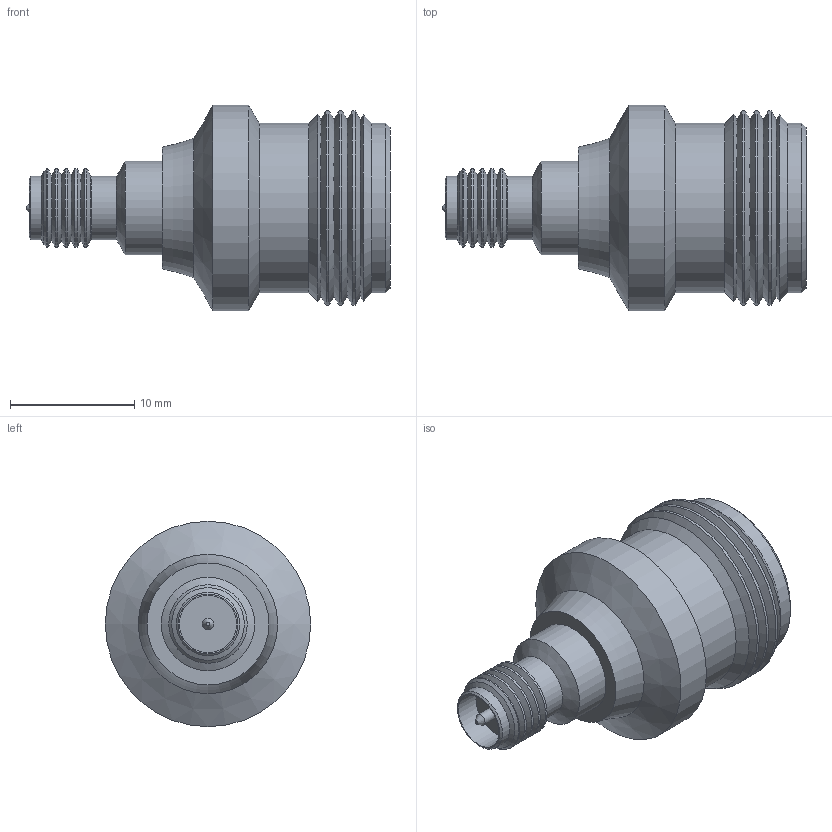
import cadquery as cq
import math

TOTAL_LENGTH = 29.25

SOCKET_FACE_X = 0.25
NECK_RADIUS = 2.55
SOCKET_CHAMFER = 0.15
BORE_RADIUS = 2.3
BORE_DEPTH = 2.0
PIN_RADIUS = 0.48
PIN_TIP_RADIUS = 0.15
PIN_TIP_LENGTH = 0.5

SMALL_ROOT_RADIUS = 2.62
SMALL_LEAD_IN_RADIUS = 2.92
SMALL_CREST_RADIUS = 3.15
SMALL_PITCH = 0.785
SMALL_CREST_WIDTH = 0.18
SMALL_CREST_COUNT = 5
SMALL_FIRST_CREST_X = 1.66
SMALL_THREAD_END_X = 5.28
SMALL_THREAD_END_CHAMFER = 0.09

SHOULDER_X = 7.96
SHOULDER_RADIUS = 3.75
BELL_X = 10.96
BELL_START_RADIUS = 4.9
BELL_END_RADIUS = 5.6
BELL_LENGTH = 2.5
BELL_SAG = 0.06
FLANGE_X = 15.0
FLANGE_RADIUS = 8.25
FLANGE_WIDTH = 2.9
BARREL_RADIUS = 6.8

LARGE_THREAD_X = 22.72
LARGE_CREST_RADIUS = 7.82
LARGE_ROOT_RADIUS = 7.1
LARGE_PITCH = 25.4 / 24
LARGE_CREST_WIDTH = 0.22
LARGE_CREST_COUNT = 3
LARGE_FIRST_CREST_X = 24.22
LARGE_LEAD_IN_RADIUS = 7.54
LARGE_RUN_OUT_RADIUS = 7.48
END_CHAMFER = 0.35

STEEP_SLOPE = math.tan(math.radians(60))


def thread_points(first_crest_x, count, pitch, crest_width, crest_radius, root_radius):
    """Flat-crested ridges between pointed roots, from the root before the first to that after the last."""
    first_root_x = first_crest_x - pitch / 2
    points = [(first_root_x, root_radius)]
    for index in range(count):
        crest_x = first_crest_x + index * pitch
        points += [
            (crest_x - crest_width / 2, crest_radius),
            (crest_x + crest_width / 2, crest_radius),
            (crest_x + pitch / 2, root_radius),
        ]
    return points


def revolve_about_x(profile):
    return profile.close().revolve(360, (0, 0, 0), (1, 0, 0))


def make_body():
    small_thread = thread_points(
        SMALL_FIRST_CREST_X, SMALL_CREST_COUNT, SMALL_PITCH,
        SMALL_CREST_WIDTH, SMALL_CREST_RADIUS, SMALL_ROOT_RADIUS,
    )
    large_thread = thread_points(
        LARGE_FIRST_CREST_X, LARGE_CREST_COUNT, LARGE_PITCH,
        LARGE_CREST_WIDTH, LARGE_CREST_RADIUS, LARGE_ROOT_RADIUS,
    )

    first_root_x, first_flank_end_x = small_thread[0][0], small_thread[1][0]
    flank_slope = (SMALL_CREST_RADIUS - SMALL_ROOT_RADIUS) / (first_flank_end_x - first_root_x)
    lead_in_start_x = first_root_x + (SMALL_LEAD_IN_RADIUS - SMALL_ROOT_RADIUS) / flank_slope
    lead_in_end_x = lead_in_start_x + SMALL_CREST_RADIUS - SMALL_LEAD_IN_RADIUS
    thread_start_x = first_root_x - (SMALL_ROOT_RADIUS - NECK_RADIUS) / flank_slope

    shoulder_cone_start = SHOULDER_X - (SHOULDER_RADIUS - NECK_RADIUS) / STEEP_SLOPE
    bell_end_x = BELL_X + BELL_LENGTH
    bell_middle = (
        BELL_X + BELL_LENGTH / 2,
        (BELL_START_RADIUS + BELL_END_RADIUS) / 2 - BELL_SAG,
    )
    flange_end_x = FLANGE_X + FLANGE_WIDTH
    flange_cone_end = flange_end_x + (FLANGE_RADIUS - BARREL_RADIUS) / STEEP_SLOPE

    large_lead_in_x = LARGE_THREAD_X + LARGE_LEAD_IN_RADIUS - BARREL_RADIUS
    last_root_x = large_thread[-1][0]
    run_out_x = last_root_x + (LARGE_RUN_OUT_RADIUS - LARGE_ROOT_RADIUS) / STEEP_SLOPE
    run_out_end = run_out_x + LARGE_RUN_OUT_RADIUS - BARREL_RADIUS

    profile = (
        cq.Workplane("XY")
        .moveTo(SOCKET_FACE_X, 0)
        .lineTo(SOCKET_FACE_X, NECK_RADIUS - SOCKET_CHAMFER)
        .lineTo(SOCKET_FACE_X + SOCKET_CHAMFER, NECK_RADIUS)
        .lineTo(thread_start_x, NECK_RADIUS)
        .lineTo(lead_in_start_x, SMALL_LEAD_IN_RADIUS)
        .lineTo(lead_in_end_x, SMALL_CREST_RADIUS)
    )
    for point in small_thread[2:]:
        profile = profile.lineTo(*point)
    profile = (
        profile
        .lineTo(SMALL_THREAD_END_X - SMALL_THREAD_END_CHAMFER, SMALL_ROOT_RADIUS)
        .lineTo(SMALL_THREAD_END_X, NECK_RADIUS)
        .lineTo(shoulder_cone_start, NECK_RADIUS)
        .lineTo(SHOULDER_X, SHOULDER_RADIUS)
        .lineTo(BELL_X, SHOULDER_RADIUS)
        .lineTo(BELL_X, BELL_START_RADIUS)
        .threePointArc(bell_middle, (bell_end_x, BELL_END_RADIUS))
        .lineTo(FLANGE_X, FLANGE_RADIUS)
        .lineTo(flange_end_x, FLANGE_RADIUS)
        .lineTo(flange_cone_end, BARREL_RADIUS)
        .lineTo(LARGE_THREAD_X, BARREL_RADIUS)
        .lineTo(large_lead_in_x, LARGE_LEAD_IN_RADIUS)
    )
    for point in large_thread:
        profile = profile.lineTo(*point)
    profile = (
        profile
        .lineTo(run_out_x, LARGE_RUN_OUT_RADIUS)
        .lineTo(run_out_end, BARREL_RADIUS)
        .lineTo(TOTAL_LENGTH - END_CHAMFER, BARREL_RADIUS)
        .lineTo(TOTAL_LENGTH, BARREL_RADIUS - END_CHAMFER)
        .lineTo(TOTAL_LENGTH, 0)
    )
    return revolve_about_x(profile)


def make_bore():
    return cq.Workplane("YZ", origin=(SOCKET_FACE_X, 0, 0)).circle(BORE_RADIUS).extrude(BORE_DEPTH)


def make_pin():
    """Centre pin, sunk past the bore floor so that it joins the body."""
    pin_end_x = SOCKET_FACE_X + BORE_DEPTH + PIN_RADIUS
    profile = (
        cq.Workplane("XY")
        .moveTo(0, 0)
        .lineTo(0, PIN_TIP_RADIUS)
        .lineTo(PIN_TIP_LENGTH, PIN_RADIUS)
        .lineTo(pin_end_x, PIN_RADIUS)
        .lineTo(pin_end_x, 0)
    )
    return revolve_about_x(profile)


result = make_body().cut(make_bore()).union(make_pin())